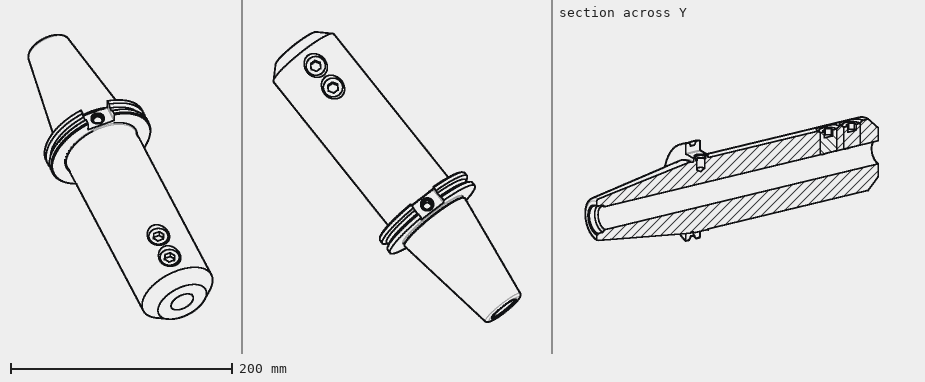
import cadquery as cq
import math

total_length = 304.8
body_diameter = 69.8
body_radius = body_diameter / 2
nose_chamfer = 11.0

gauge_x = 101.5
gauge_radius = body_radius
taper_ratio = 7 / 24
tail_radius = gauge_radius - gauge_x * taper_ratio / 2
tail_round = 2.5

neck_radius = 34.0
neck_chamfer = gauge_radius - neck_radius
neck_fillet = 0.5

flange_diameter = 98.0
flange_radius = flange_diameter / 2
flange_start_x = 105.0
flange_end_x = 120.7
flange_middle_x = (flange_start_x + flange_end_x) / 2
flange_chamfer = 1.0
flange_fillet = 1.0

groove_depth = 3.5
groove_middle_x = 112.5
groove_floor_width = 3.7
groove_half_angle = math.radians(30)
groove_mouth_width = groove_floor_width + 2 * groove_depth * math.tan(groove_half_angle)

slot_width = 26.0
top_slot_floor = 37.5
bottom_slot_floor = 35.5
slot_corner_radius = 0.5

through_diameter = 22.0
tail_bore_diameter = 26.2
tail_bore_depth = 6.7
tail_bore_chamfer = 1.0

slot_hole_diameter = 8.0
slot_hole_depth = 12.2
slot_counterbore_diameter = 10.0
slot_counterbore_depth = 3.0
slot_countersink_diameter = 12.0
drill_half_angle = math.radians(59)

screw_diameter = 17.5
screw_radius = screw_diameter / 2
screw_pitch = 25.3
first_screw_x = 251.0
screw_count = 2
screw_xs = [first_screw_x + i * screw_pitch for i in range(screw_count)]
screw_top_z = 32.5
countersink_diameter = 23.2
screw_bottom_z = through_diameter / 2
socket_flats = 8.8
socket_depth = 5.8


def revolve_about_x(outline):
    return outline.close().revolve(360, (0, 0, 0), (1, 0, 0))


def make_blank():
    """Taper, neck, flange and cylindrical body turned as one piece."""
    outline = (
        cq.Workplane("XZ")
        .lineTo(0, tail_radius)
        .lineTo(gauge_x, gauge_radius)
        .lineTo(gauge_x + neck_chamfer, neck_radius)
        .lineTo(flange_start_x - neck_fillet, neck_radius)
        .radiusArc((flange_start_x, neck_radius + neck_fillet), -neck_fillet)
        .lineTo(flange_start_x, flange_radius)
        .lineTo(flange_end_x - flange_chamfer, flange_radius)
        .lineTo(flange_end_x, flange_radius - flange_chamfer)
        .lineTo(flange_end_x, body_radius + flange_fillet)
        .radiusArc((flange_end_x + flange_fillet, body_radius), -flange_fillet)
        .lineTo(total_length - nose_chamfer, body_radius)
        .lineTo(total_length, body_radius - nose_chamfer)
        .lineTo(total_length, 0)
    )
    return revolve_about_x(outline).faces("<X").edges().fillet(tail_round)


def make_groove():
    """Ring with the trapezoid section of the V-groove."""
    floor_radius = flange_radius - groove_depth
    outline = (
        cq.Workplane("XZ")
        .moveTo(groove_middle_x - groove_mouth_width / 2, flange_radius)
        .lineTo(groove_middle_x - groove_floor_width / 2, floor_radius)
        .lineTo(groove_middle_x + groove_floor_width / 2, floor_radius)
        .lineTo(groove_middle_x + groove_mouth_width / 2, flange_radius)
    )
    return revolve_about_x(outline)


def make_slot(side, floor_height):
    """Drive slot across the flange; side is +1 for the top and -1 for the bottom."""
    height = flange_radius - floor_height
    return (
        cq.Workplane("XY")
        .box(flange_end_x - flange_start_x, slot_width, height)
        .edges("|X and <Z" if side > 0 else "|X and >Z")
        .fillet(slot_corner_radius)
        .translate((flange_middle_x, 0, side * (floor_height + height / 2)))
    )


def make_bore():
    """Through hole with a chamfered counterbore at the tail that narrows in a 45 degree cone."""
    bore_radius = tail_bore_diameter / 2
    through_radius = through_diameter / 2
    cone_length = bore_radius - through_radius
    outline = (
        cq.Workplane("XZ")
        .lineTo(0, bore_radius + tail_bore_chamfer)
        .lineTo(tail_bore_chamfer, bore_radius)
        .lineTo(tail_bore_depth, bore_radius)
        .lineTo(tail_bore_depth + cone_length, through_radius)
        .lineTo(total_length, through_radius)
        .lineTo(total_length, 0)
    )
    return revolve_about_x(outline)


def make_slot_hole():
    """Countersunk, stepped hole with a drill point, sunk from the top slot floor."""
    drill_radius = slot_hole_diameter / 2
    step_radius = slot_counterbore_diameter / 2
    mouth_radius = slot_countersink_diameter / 2
    point_depth = slot_hole_depth + drill_radius / math.tan(drill_half_angle)
    return (
        cq.Workplane("XZ")
        .lineTo(mouth_radius, 0)
        .lineTo(step_radius, step_radius - mouth_radius)
        .lineTo(step_radius, -slot_counterbore_depth)
        .lineTo(drill_radius, -slot_counterbore_depth)
        .lineTo(drill_radius, -slot_hole_depth)
        .lineTo(0, -point_depth)
        .close()
        .revolve(360, (0, 0, 0), (0, 1, 0))
        .translate((flange_middle_x, 0, top_slot_floor))
    )


def make_screw_hole(x):
    """Screw hole down to the bore, with a countersink above the screw."""
    return (
        cq.Workplane("XZ")
        .lineTo(screw_radius, 0)
        .lineTo(screw_radius, screw_top_z)
        .lineTo(countersink_diameter / 2, body_radius)
        .lineTo(0, body_radius)
        .close()
        .revolve(360, (0, 0, 0), (0, 1, 0))
        .translate((x, 0, 0))
    )


def make_holder():
    holder = make_blank().cut(make_groove())
    holder = holder.cut(make_slot(1, top_slot_floor))
    holder = holder.cut(make_slot(-1, bottom_slot_floor))
    holder = holder.cut(make_bore())
    holder = holder.cut(make_slot_hole())
    for x in screw_xs:
        holder = holder.cut(make_screw_hole(x))
    return holder


def make_screw(x):
    """Clamping screw with a hexagon socket that has two flats facing along X."""
    socket = (
        cq.Workplane("XY")
        .workplane(offset=screw_top_z - socket_depth)
        .polygon(6, socket_flats, circumscribed=True)
        .extrude(socket_depth)
    )
    return (
        cq.Workplane("XY")
        .workplane(offset=screw_bottom_z)
        .circle(screw_radius)
        .extrude(screw_top_z - screw_bottom_z)
        .cut(socket)
        .translate((x, 0, 0))
    )


holder = make_holder()
screws = [make_screw(x) for x in screw_xs]
result = cq.Compound.makeCompound([holder.val(), *[screw.val() for screw in screws]])